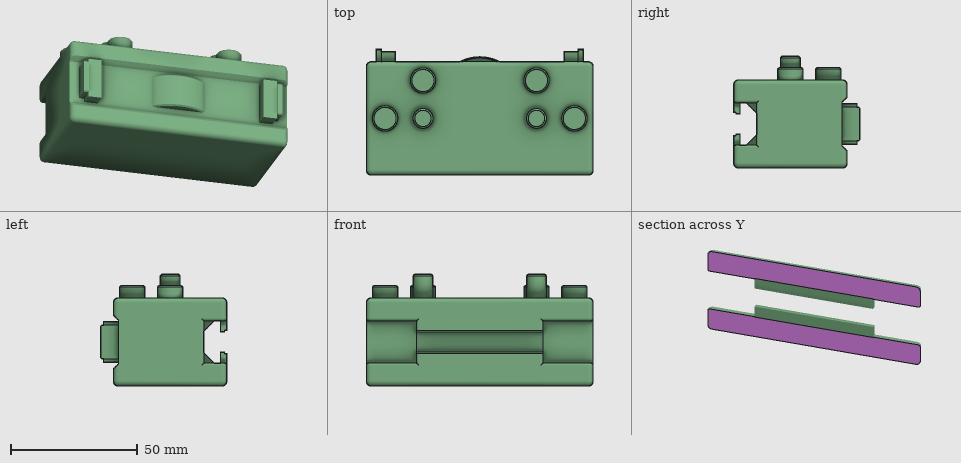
import cadquery as cq

length, depth, height = 90.0, 45.0, 35.0
edge_radius = 2.0
mid_x, mid_y, mid_z = length / 2, depth / 2, height / 2

rear_groove_depth = edge_radius
rear_groove_floor_height = 17.5
rear_floor_y = depth - rear_groove_depth

notch_height = 16.7
notch_length, notch_depth = 20.0, 9.1
notch_edge_radius = 1.0
lip_gap, lip_thickness = 8.1, 2.6
lip_step_depth, lip_step_height = 0.9, 0.5
slot_height, slot_depth = 17.1, 9.4
slope_start_y = 4.9

stud_radius, stud_height, stud_bevel = 5.0, 4.95, 0.6
pin_radius, pin_height, pin_bevel = 4.0, 9.45, 0.7
outer_stud_x = 7.5
inner_stud_x = 22.5
rear_stud_y = depth - outer_stud_x

latch_tip_y, latch_tip_height, latch_tip_bevel = 50.0, 13.3, 0.45
latch_body_y, latch_body_height = 49.0, 16.2
latch_start_x, latch_step_x, latch_end_x = 4.0, 6.0, 11.5

wheel_radius, wheel_thickness, wheel_bevel = 16.65, 13.3, 0.5
wheel_reach = 2.0


def centred_box(start_x, end_x, start_y, end_y, box_height):
    """Box between the given X and Y limits, centred on the block's mid height."""
    size_x, size_y = end_x - start_x, end_y - start_y
    box = cq.Workplane("XY").box(size_x, size_y, box_height)
    return box.translate((start_x + size_x / 2, start_y + size_y / 2, mid_z))


def both_ends(solid):
    """The solid together with its mirror image at the +X end."""
    return solid.union(solid.mirror("YZ", (mid_x, 0, 0)))


def channel(half_profile, start_x, end_x):
    """Prism along X from (y, half height) points, symmetric about mid height."""
    upper = [(y, mid_z + half) for y, half in half_profile]
    lower = [(y, mid_z - half) for y, half in reversed(half_profile)]
    sketch = cq.Workplane("YZ", origin=(start_x, 0, 0)).polyline(upper + lower).close()
    return sketch.extrude(end_x - start_x)


def rounded_block():
    return cq.Workplane("XY").box(length, depth, height, centered=False).edges().fillet(edge_radius)


def rear_groove():
    floor_half = rear_groove_floor_height / 2
    mouth_half = floor_half + rear_groove_depth
    return channel([(rear_floor_y, floor_half), (depth, mouth_half)], 0, length)


def cut_end_notches(block):
    """Cut a square notch at each end and round its rims on the front and end faces."""
    notch = centred_box(0, notch_length, 0, notch_depth, notch_height)
    notched = block.cut(both_ends(notch))
    half_window = notch_height / 2 + notch_edge_radius
    rims = cq.selectors.BoxSelector(
        (-edge_radius, -edge_radius, mid_z - half_window),
        (length + edge_radius, mid_y, mid_z + half_window),
    )
    return notched.faces("<Y or <X or >X").edges(rims).fillet(notch_edge_radius)


def t_slot():
    gap_half, slot_half = lip_gap / 2, slot_height / 2
    profile = [
        (0, gap_half + lip_step_height),
        (lip_step_depth, gap_half + lip_step_height),
        (lip_step_depth, gap_half),
        (lip_thickness, gap_half),
        (lip_thickness, slot_half),
        (slope_start_y, slot_half),
        (slot_depth, slot_half - (slot_depth - slope_start_y)),
    ]
    return channel(profile, notch_length, length - notch_length)


def peg(x, y, radius, peg_height, bevel):
    post = cq.Workplane("XY", origin=(x, y, height)).circle(radius).extrude(peg_height)
    return post.faces(">Z").chamfer(bevel)


def latch():
    tip = centred_box(latch_start_x, latch_step_x, rear_floor_y, latch_tip_y, latch_tip_height)
    tip = tip.faces(">Y").edges("|X").chamfer(latch_tip_bevel)
    body = centred_box(latch_step_x, latch_end_x, rear_floor_y, latch_body_y, latch_body_height)
    return tip.union(body)


def wheel():
    centre = (mid_x, depth + wheel_reach - wheel_radius, mid_z - wheel_thickness / 2)
    disc = cq.Workplane("XY", origin=centre).circle(wheel_radius).extrude(wheel_thickness)
    return disc.faces("<Z or >Z").chamfer(wheel_bevel)


result = cut_end_notches(rounded_block())
result = result.cut(t_slot()).cut(rear_groove())

outer_stud = peg(outer_stud_x, mid_y, stud_radius, stud_height, stud_bevel)
inner_stud = peg(inner_stud_x, rear_stud_y, stud_radius, stud_height, stud_bevel)
pin = peg(inner_stud_x, mid_y, pin_radius, pin_height, pin_bevel)
for end_feature in (outer_stud, inner_stud, pin, latch()):
    result = result.union(both_ends(end_feature))

result = result.union(wheel())